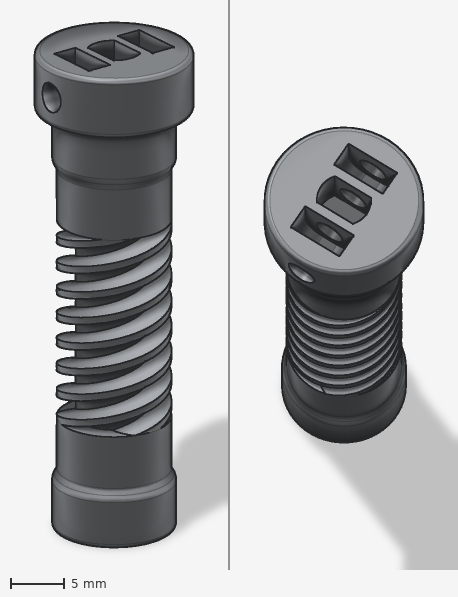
import cadquery as cq
import math

total_height = 48.3
head_diameter = 15.0
head_height = 6.0
collar_diameter = 11.75
shaft_diameter = 10.85
head_fillet = 0.5
head_root_fillet = 0.25
end_fillet = 0.5
blend_radius = 1.0
blend_end_distance = 6.0
upper_blend_depth = 12.0

thread_bottom = 11.2
thread_length = 20.0
root_diameter = 7.3
starts = 3
lead = 7.8
crest_width = 0.72
root_width = 0.8
crest_angle = 121.0

cross_hole_diameter = 2.9
pocket_depth = 5.0
slot_length = 5.45
slot_width = 2.5
slot_offset = 3.75
slot_floor_fillet = 1.95
center_pocket_diameter = 5.1
center_pocket_width = 3.15

head_radius = head_diameter / 2
collar_radius = collar_diameter / 2
shaft_radius = shaft_diameter / 2
root_radius = root_diameter / 2
head_bottom = total_height - head_height
thread_top = thread_bottom + thread_length

blend_half_step = (collar_radius - shaft_radius) / 2
blend_half_length = math.sqrt(blend_radius**2 - (blend_radius - blend_half_step) ** 2)
blend_mid_radius = shaft_radius + blend_half_step


def make_lower_end():
    blend_top = blend_end_distance
    blend_mid = blend_top - blend_half_length
    blend_bottom = blend_mid - blend_half_length
    profile = (
        cq.Workplane("XZ")
        .lineTo(collar_radius - end_fillet, 0)
        .radiusArc((collar_radius, end_fillet), -end_fillet)
        .lineTo(collar_radius, blend_bottom)
        .radiusArc((blend_mid_radius, blend_mid), -blend_radius)
        .radiusArc((shaft_radius, blend_top), blend_radius)
        .lineTo(shaft_radius, thread_bottom)
        .lineTo(0, thread_bottom)
        .close()
    )
    return profile.revolve(360, (0, 0, 0), (0, 1, 0))


def make_upper_end():
    blend_bottom = total_height - upper_blend_depth
    blend_mid = blend_bottom + blend_half_length
    blend_top = blend_mid + blend_half_length
    profile = (
        cq.Workplane("XZ")
        .moveTo(0, thread_top)
        .lineTo(shaft_radius, thread_top)
        .lineTo(shaft_radius, blend_bottom)
        .radiusArc((blend_mid_radius, blend_mid), blend_radius)
        .radiusArc((collar_radius, blend_top), -blend_radius)
        .lineTo(collar_radius, head_bottom - head_root_fillet)
        .radiusArc((collar_radius + head_root_fillet, head_bottom), head_root_fillet)
        .lineTo(head_radius - head_fillet, head_bottom)
        .radiusArc((head_radius, head_bottom + head_fillet), -head_fillet)
        .lineTo(head_radius, total_height - head_fillet)
        .radiusArc((head_radius - head_fillet, total_height), -head_fillet)
        .lineTo(0, total_height)
        .close()
    )
    return profile.revolve(360, (0, 0, 0), (0, 1, 0))


def polar(radius, degrees):
    angle = math.radians(degrees)
    return (radius * math.cos(angle), radius * math.sin(angle))


def make_thread():
    """Twist a lobed section; axial widths become angles through the lead."""
    start_step = 360 / starts
    crest_half = 180 * crest_width / lead
    root_half = 180 * root_width / lead
    flank_mid_radius = (shaft_radius + root_radius) / 2
    flank_mid = (crest_half + start_step / 2 - root_half) / 2
    section = cq.Workplane("XY", origin=(0, 0, thread_bottom))
    section = section.moveTo(*polar(shaft_radius, crest_angle - crest_half))
    for start in range(starts):
        crest = crest_angle + start * start_step
        root = crest + start_step / 2
        next_crest = crest + start_step
        section = (
            section.threePointArc(polar(shaft_radius, crest), polar(shaft_radius, crest + crest_half))
            .threePointArc(polar(flank_mid_radius, crest + flank_mid), polar(root_radius, root - root_half))
            .threePointArc(polar(root_radius, root), polar(root_radius, root + root_half))
            .threePointArc(
                polar(flank_mid_radius, next_crest - flank_mid),
                polar(shaft_radius, next_crest - crest_half),
            )
        )
    return section.close().twistExtrude(thread_length, 360 * thread_length / lead)


def cut_head(body):
    pocket_floor = total_height - pocket_depth
    pocket_middle = total_height - pocket_depth / 2
    slot = (
        cq.Workplane("XY")
        .box(slot_length, slot_width, pocket_depth)
        .edges("|Y and <Z")
        .fillet(slot_floor_fillet)
    )
    for side in (-1, 1):
        body = body.cut(slot.translate((0, side * slot_offset, pocket_middle)))
    flats = cq.Workplane("XY", origin=(0, 0, pocket_middle)).box(
        center_pocket_diameter, center_pocket_width, pocket_depth
    )
    center_pocket = (
        cq.Workplane("XY", origin=(0, 0, pocket_floor))
        .circle(center_pocket_diameter / 2)
        .extrude(pocket_depth)
        .intersect(flats)
    )
    cross_hole = (
        cq.Workplane("XZ", origin=(0, 0, total_height - head_height / 2))
        .circle(cross_hole_diameter / 2)
        .extrude(head_radius, both=True)
    )
    return body.cut(center_pocket).cut(cross_hole)


result = cut_head(make_lower_end().union(make_thread()).union(make_upper_end()))